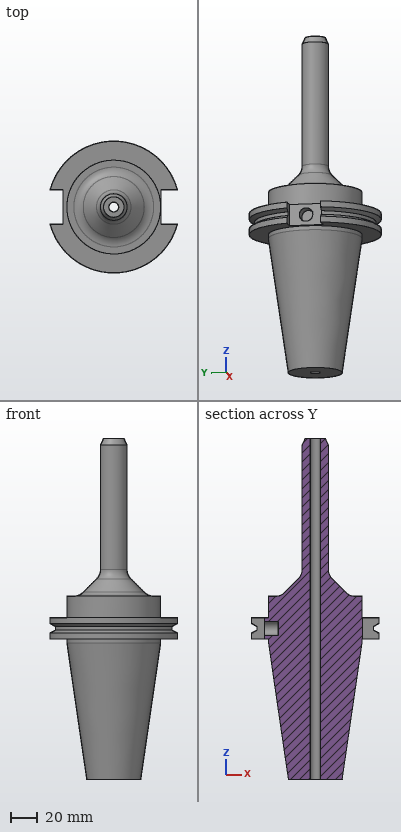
import cadquery as cq
import math

total_height = 254.0
gauge_height = 101.5
flange_bottom = 104.6
flange_top = 120.6
collar_top = 136.7

collar_diameter = 69.8
collar_radius = collar_diameter / 2
taper_ratio = 7 / 24
taper_end_radius = collar_radius - gauge_height * taper_ratio / 2

flange_diameter = 98.3
flange_radius = flange_diameter / 2
groove_height = (flange_bottom + flange_top) / 2
groove_mouth = 7.0
groove_depth = 3.8
groove_wall_angle = math.radians(30)

arbor_radius = 10.0
tip_radius = 7.5
tip_height = 4.8
blend_radius = 10.0
blend_foot_radius = 29.7
bore_radius = 3.5

slot_width = 25.5
left_slot_floor = 37.8
right_slot_floor = 35.3
slot_hole_radius = 5.0
slot_hole_depth = 10.2


def make_body():
    """Taper, collar, conical blend and arbor as one revolved outline."""
    along = blend_radius * math.sin(math.pi / 4)
    across = blend_radius - blend_radius * math.cos(math.pi / 4)
    half_along = blend_radius * math.sin(math.pi / 8)
    half_across = blend_radius - blend_radius * math.cos(math.pi / 8)

    cone_foot = (blend_foot_radius - along, collar_top + across)
    cone_top_radius = arbor_radius + across
    cone_top_height = cone_foot[1] + cone_foot[0] - cone_top_radius
    arbor_bottom = cone_top_height + along

    return (
        cq.Workplane("XZ")
        .lineTo(taper_end_radius, 0)
        .lineTo(collar_radius, gauge_height)
        .lineTo(collar_radius, collar_top)
        .lineTo(blend_foot_radius, collar_top)
        .threePointArc((blend_foot_radius - half_along, collar_top + half_across), cone_foot)
        .lineTo(cone_top_radius, cone_top_height)
        .threePointArc(
            (arbor_radius + half_across, arbor_bottom - half_along), (arbor_radius, arbor_bottom)
        )
        .lineTo(arbor_radius, total_height - tip_height)
        .lineTo(tip_radius, total_height)
        .lineTo(0, total_height)
        .close()
        .revolve(360, (0, 0, 0), (0, 1, 0))
    )


def make_flange():
    """Flange disc with a V-groove that has a flat floor."""
    half_mouth = groove_mouth / 2
    half_floor = half_mouth - groove_depth * math.tan(groove_wall_angle)
    floor_radius = flange_radius - groove_depth
    return (
        cq.Workplane("XZ")
        .moveTo(0, flange_bottom)
        .lineTo(flange_radius, flange_bottom)
        .lineTo(flange_radius, groove_height - half_mouth)
        .lineTo(floor_radius, groove_height - half_floor)
        .lineTo(floor_radius, groove_height + half_floor)
        .lineTo(flange_radius, groove_height + half_mouth)
        .lineTo(flange_radius, flange_top)
        .lineTo(0, flange_top)
        .close()
        .revolve(360, (0, 0, 0), (0, 1, 0))
    )


def make_drive_slot(side, floor_distance):
    """Slot cutter across the flange; side is -1 for -X and +1 for +X."""
    slot_depth = flange_radius - floor_distance
    return cq.Workplane("XY").box(slot_depth, slot_width, flange_top - flange_bottom).translate(
        (side * (floor_distance + slot_depth / 2), 0, groove_height)
    )


def make_slot_hole():
    """Blind round hole in the floor of the -X drive slot."""
    return (
        cq.Workplane("YZ", origin=(-left_slot_floor, 0, groove_height))
        .circle(slot_hole_radius)
        .extrude(slot_hole_depth)
    )


def make_bore():
    """Coolant bore running through the whole length."""
    return cq.Workplane("XY").circle(bore_radius).extrude(total_height)


result = (
    make_body()
    .union(make_flange())
    .cut(make_drive_slot(-1, left_slot_floor))
    .cut(make_drive_slot(1, right_slot_floor))
    .cut(make_slot_hole())
    .cut(make_bore())
)